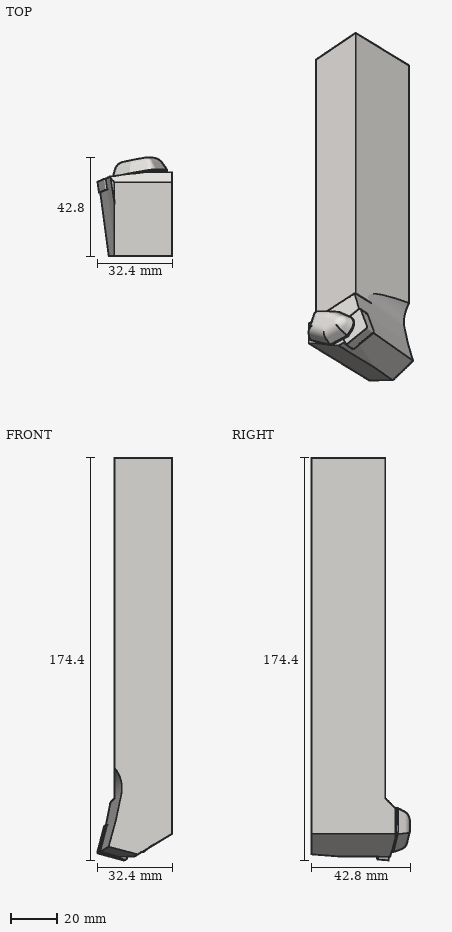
import cadquery as cq
import math

SHANK_WIDTH = 25.0
SHANK_HEIGHT = 32.0
OVERALL_LENGTH = 174.39

INSERT_SIDE = 12.7
INSERT_THICKNESS = 4.76
INSERT_CORNER_RADIUS = 0.8
TIP = (-7.54, 32.1, 3.14)
SIDE_TILT = 7.6
BACK_TILT = -4.4
LEAD_ANGLE = 15.2

HEAD_TOP_Z = 27.0
HEAD_BOTTOM_Z = 1.65
HEAD_BACK_Y = 36.35
CORNER_CUT_Z = 11.5
CORNER_CUT_ANGLE = 31.0

SIDE_OVERHANG = 0.65
END_OVERHANG = 0.5
FLANK_BEND_ANGLE = 3.4
BEND_RUN = 0.5

NECK_RADIUS = 13.6
NECK_START = 23.6

CLAMP_CORNERS = [
    (17.6, 24.3),
    (7.0, 18.7),
    (-2.9, 9.2),
    (3.3, 3.9),
    (13.0, 3.9),
    (23.5, 12.0),
]
CLAMP_ROUNDED_CORNERS = [
    (CLAMP_CORNERS[0], 3.0),
    (CLAMP_CORNERS[2], 5.0),
]
CLAMP_FOOT_HEIGHT = 0.7
CLAMP_HEIGHT = 6.73
CLAMP_DRAFT = 23.0
CLAMP_TOP_RADIUS = 4.5

REACH = 60.0

upright = cq.Plane(TIP, xDir=(0, 0, 1), normal=(0, 1, 0))
seat = upright.rotated((SIDE_TILT, BACK_TILT, LEAD_ANGLE))


def make_insert():
    centre = INSERT_SIDE / 2
    return (
        cq.Workplane(seat)
        .center(centre, centre)
        .rect(INSERT_SIDE, INSERT_SIDE)
        .extrude(-INSERT_THICKNESS)
        .edges(cq.selectors.ParallelDirSelector(seat.zDir))
        .fillet(INSERT_CORNER_RADIUS)
    )


def make_shank():
    return (
        cq.Workplane("XY", origin=(0, 0, HEAD_TOP_Z))
        .rect(SHANK_WIDTH, SHANK_HEIGHT, centered=False)
        .extrude(OVERALL_LENGTH - HEAD_TOP_Z)
    )


def make_head_block():
    """Block that widens from the shank at 45 degrees to the left and to the back."""
    corner_run = (CORNER_CUT_Z - HEAD_BOTTOM_Z) / math.tan(math.radians(CORNER_CUT_ANGLE))
    side_outline = [
        (0, HEAD_TOP_Z),
        (SHANK_WIDTH, HEAD_TOP_Z),
        (SHANK_WIDTH, CORNER_CUT_Z),
        (SHANK_WIDTH - corner_run, HEAD_BOTTOM_Z),
        (HEAD_BOTTOM_Z - HEAD_TOP_Z, HEAD_BOTTOM_Z),
    ]
    back_outline = [
        (0, HEAD_TOP_Z),
        (SHANK_HEIGHT, HEAD_TOP_Z),
        (HEAD_BACK_Y, HEAD_TOP_Z - (HEAD_BACK_Y - SHANK_HEIGHT)),
        (HEAD_BACK_Y, 0),
        (0, 0),
    ]
    side_block = cq.Workplane("XZ").polyline(side_outline).close().extrude(-REACH)
    back_block = cq.Workplane("YZ").polyline(back_outline).close().extrude(REACH, both=True)
    return side_block.intersect(back_block)


def make_top_cut():
    """Everything on the head that stands above the plane of the insert's top face."""
    return cq.Workplane(seat).rect(2 * REACH, 2 * REACH).extrude(REACH)


def make_end_cut():
    """Everything below the end flank, which lies along the insert's end edge."""
    return (
        cq.Workplane(seat)
        .center(END_OVERHANG - REACH / 2, 0)
        .rect(REACH, 2 * REACH)
        .extrude(-REACH)
    )


def bent_flank_point(distance):
    """Point in the seat plane on the bent part of the side flank, this far past the bend."""
    bend = math.radians(FLANK_BEND_ANGLE)
    return (INSERT_SIDE + distance * math.cos(bend), SIDE_OVERHANG - distance * math.sin(bend))


def outside_neck_point(distance):
    """Point in the seat plane this far straight out from the upper end of the side flank."""
    bend = math.radians(FLANK_BEND_ANGLE)
    x, y = bent_flank_point(NECK_START - INSERT_SIDE)
    return (x - distance * math.sin(bend), y - distance * math.cos(bend))


def make_flank_cut():
    """Everything outside the side flank: straight along the insert, then bent outward."""
    return (
        cq.Workplane(seat)
        .moveTo(-REACH, SIDE_OVERHANG)
        .lineTo(INSERT_SIDE - BEND_RUN, SIDE_OVERHANG)
        .tangentArcPoint(bent_flank_point(BEND_RUN), relative=False)
        .lineTo(*outside_neck_point(0))
        .lineTo(*outside_neck_point(REACH))
        .lineTo(-REACH, -REACH)
        .close()
        .extrude(REACH, both=True)
    )


def make_neck_cut():
    """Cylinder tangent to the upper end of the side flank, parallel to the seat's normal."""
    return (
        cq.Workplane(seat)
        .center(*outside_neck_point(NECK_RADIUS))
        .circle(NECK_RADIUS)
        .extrude(REACH, both=True)
    )


def make_clamp():
    """Straight-sided foot that carries a drafted body with a broadly rounded top."""
    corners = [seat.toLocalCoords(cq.Vector(x, TIP[1], z)) for x, z in CLAMP_CORNERS]
    outline = [(corner.x, corner.y) for corner in corners]
    foot = cq.Workplane(seat).polyline(outline).close().extrude(CLAMP_FOOT_HEIGHT)
    upright_edges = cq.selectors.ParallelDirSelector(seat.zDir)
    for (x, z), radius in CLAMP_ROUNDED_CORNERS:
        nearest = cq.selectors.NearestToPointSelector((x, TIP[1], z))
        foot = foot.edges(upright_edges).edges(nearest).fillet(radius)
    top = cq.selectors.DirectionMinMaxSelector(seat.zDir, True)
    body = (
        foot.faces(top)
        .wires()
        .toPending()
        .workplane()
        .extrude(CLAMP_HEIGHT - CLAMP_FOOT_HEIGHT, taper=CLAMP_DRAFT, combine=False)
        .faces(top)
        .edges()
        .fillet(CLAMP_TOP_RADIUS)
    )
    return foot.union(body)


def make_holder(insert):
    """Shank, head and clamp in one piece, with a pocket that fits the insert."""
    head = make_head_block().cut(make_top_cut()).cut(make_end_cut())
    holder = make_shank().union(head).cut(make_flank_cut()).cut(make_neck_cut())
    return holder.union(make_clamp()).cut(insert)


insert = make_insert()
holder = make_holder(insert)
result = cq.Compound.makeCompound([holder.solids().val(), insert.val()])